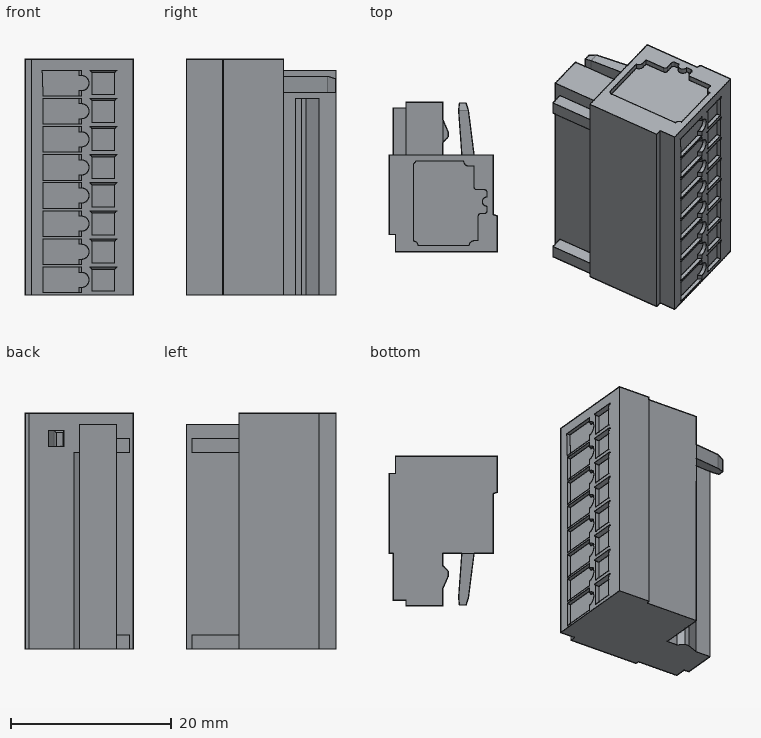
import cadquery as cq


pole_count = 8
pole_pitch = 3.5
end_wall = 1.4
housing_height = pole_count * pole_pitch + end_wall
housing_width = 13.5
housing_depth = 12.1
overall_depth = 18.65

left_step_width = 0.8
left_step_depth = 2.15
right_step_width = 0.5
right_step_inner_y = 4.65
right_step_outer_y = 4.5

plug_left = 2.1
plug_right = 6.7
plug_height = pole_count * pole_pitch
rib_left = 0.5
rib_end_y = 17.95
rib_height = pole_pitch / 2
rib_bottoms = (0.0, (pole_count - 1) * pole_pitch)

latch_reach = 0.7
latch_start_y = 13.6
latch_crest_start_y = 14.35
latch_crest_end_y = 14.9
latch_end_y = 16.5

prong_base_left = 9.05
prong_base_right = 10.6
prong_shoulder_left = 8.65
prong_shoulder_right = 9.9
prong_shoulder_y = 17.6
prong_tip_left = 8.75
prong_tip_right = 9.6
prong_tip_y = 18.55
prong_top_z = 27.25
prong_thickness = 2.0
prong_tip_drop = 0.3

pocket_depth = 0.5
button_left = 2.25
button_right = 7.03
button_ramp_start = 6.7
button_bottom = 0.3
button_top = pole_pitch
end_button_taper = 0.12
button_nose_radius = 0.94

entry_left = 8.35
entry_right = 11.15
entry_bottom = 0.5
entry_top = pole_pitch
entry_lead_in = 0.28

label_depth = 0.72
label_left = 3.05
label_top = 11.3
label_bottom = 0.8
label_upper_right = 10.6
label_lower_right = 11.1
label_lobe_right = 12.2
label_lobe_middle = 6.27
label_lobe_half_width = 1.48
label_notch_radius = 0.58
label_corner_radius = 0.32
label_scallop = 0.6
label_scallop_width = 1.3
label_foot_width = 1.12
label_heel = 0.55


def prism(points, bottom, height):
    """Straight-sided prism over an XY outline."""
    return cq.Workplane("XY").workplane(offset=bottom).polyline(points).close().extrude(height)


def block(x_range, y_range, z_range):
    """Axis-aligned block between the given limits."""
    size = [upper - lower for lower, upper in (x_range, y_range, z_range)]
    corner = (x_range[0], y_range[0], z_range[0])
    return cq.Workplane("XY").box(*size, centered=False).translate(corner)


def make_housing():
    right_wall = housing_width - right_step_width
    outline = [
        (left_step_width, 0),
        (housing_width, 0),
        (housing_width, right_step_outer_y),
        (right_wall, right_step_inner_y),
        (right_wall, housing_depth),
        (0, housing_depth),
        (0, left_step_depth),
        (left_step_width, left_step_depth),
    ]
    return prism(outline, 0, housing_height)


def make_plug():
    plug = block((plug_left, plug_right), (housing_depth, overall_depth), (0, plug_height))
    for bottom in rib_bottoms:
        rib = block((rib_left, plug_left), (housing_depth, rib_end_y), (bottom, bottom + rib_height))
        plug = plug.union(rib)
    return plug


def make_latch():
    crest = plug_right + latch_reach
    outline = [
        (plug_right, latch_start_y),
        (crest, latch_crest_start_y),
        (crest, latch_crest_end_y),
        (plug_right, latch_end_y),
    ]
    return prism(outline, 0, pole_pitch * (pole_count - 1))


def make_prong():
    outline = [
        (prong_base_left, housing_depth),
        (prong_base_right, housing_depth),
        (prong_shoulder_right, prong_shoulder_y),
        (prong_tip_right, prong_tip_y),
        (prong_tip_left, prong_tip_y),
        (prong_shoulder_left, prong_shoulder_y),
    ]
    prong = prism(outline, prong_top_z - prong_thickness, prong_thickness)
    bevel = (
        cq.Workplane("YZ")
        .polyline([
            (prong_shoulder_y, prong_top_z),
            (prong_tip_y, prong_top_z - prong_tip_drop),
            (prong_tip_y, prong_top_z),
        ])
        .close()
        .extrude(housing_width)
    )
    return prong.cut(bevel)


def make_button_recess():
    """Rectangular recess with a ramped +X end and a round nose past the ramp."""
    ramp_outline = [
        (button_left, 0),
        (button_right, 0),
        (button_ramp_start, pocket_depth),
        (button_left, pocket_depth),
    ]
    recess = prism(ramp_outline, button_bottom, button_top - button_bottom)
    middle_z = (button_bottom + button_top) / 2
    nose_start = block(
        (button_ramp_start, button_right),
        (0, pocket_depth),
        (middle_z - button_nose_radius, middle_z + button_nose_radius),
    )
    nose = (
        cq.Workplane("XZ")
        .center(button_right, middle_z)
        .circle(button_nose_radius)
        .extrude(-pocket_depth)
    )
    return recess.union(nose_start).union(nose)


def make_end_button_taper():
    """Thin wedge that widens the last button recess toward its top."""
    base_z = pole_pitch * (pole_count - 1)
    return (
        cq.Workplane("XZ")
        .polyline([
            (button_left, base_z + button_bottom),
            (button_left, base_z + button_top),
            (button_left - end_button_taper, base_z + button_top),
        ])
        .close()
        .extrude(-pocket_depth)
    )


def make_entry_recess():
    """Square recess whose top edge is a flared, sloping lead-in."""
    lead_in_bottom = entry_top - entry_lead_in
    square = block((entry_left, entry_right), (0, pocket_depth), (entry_bottom, lead_in_bottom))
    flare = (
        cq.Workplane("XZ")
        .polyline([
            (entry_left, lead_in_bottom),
            (entry_right, lead_in_bottom),
            (entry_right + entry_lead_in, entry_top),
            (entry_left - entry_lead_in, entry_top),
        ])
        .close()
        .extrude(-pocket_depth)
    )
    slope = (
        cq.Workplane("YZ")
        .polyline([(0, lead_in_bottom), (pocket_depth, lead_in_bottom), (0, entry_top)])
        .close()
        .extrude(housing_width)
    )
    return square.union(flare.intersect(slope))


def make_label_recess():
    """Shallow recess with scalloped corners and a lobe toward +X, notched by a round boss."""
    lobe_top = label_lobe_middle + label_lobe_half_width
    lobe_bottom = label_lobe_middle - label_lobe_half_width
    notch_top = label_lobe_middle + label_notch_radius
    notch_bottom = label_lobe_middle - label_notch_radius
    notch_tip = label_lobe_right - label_notch_radius
    scallop_left = label_upper_right - label_scallop_width
    scallop_bottom = label_top - label_scallop
    foot_left = label_lower_right - label_foot_width
    foot_right = foot_left + label_scallop
    foot_top = label_bottom + label_scallop
    heel_right = label_left + label_heel
    heel_top = label_bottom + label_heel
    corner = label_corner_radius
    return (
        cq.Workplane("XY")
        .workplane(offset=housing_height - label_depth)
        .moveTo(label_left, label_top - corner)
        .lineTo(label_left + corner, label_top)
        .lineTo(scallop_left, label_top)
        .radiusArc((scallop_left + label_scallop, scallop_bottom), -label_scallop)
        .lineTo(label_upper_right, scallop_bottom)
        .lineTo(label_upper_right, lobe_top + corner)
        .radiusArc((label_upper_right + corner, lobe_top), -corner)
        .lineTo(label_lobe_right - corner, lobe_top)
        .radiusArc((label_lobe_right, lobe_top - corner), corner)
        .lineTo(label_lobe_right, notch_top)
        .threePointArc((notch_tip, label_lobe_middle), (label_lobe_right, notch_bottom))
        .lineTo(label_lobe_right, lobe_bottom + corner)
        .radiusArc((label_lobe_right - corner, lobe_bottom), corner)
        .lineTo(label_lower_right + corner, lobe_bottom)
        .radiusArc((label_lower_right, lobe_bottom - corner), -corner)
        .lineTo(label_lower_right, foot_top)
        .lineTo(foot_right, foot_top)
        .radiusArc((foot_left, label_bottom), -label_scallop)
        .lineTo(heel_right, label_bottom)
        .radiusArc((label_left, heel_top), -label_heel)
        .close()
        .extrude(label_depth)
    )


result = make_housing().union(make_plug()).union(make_latch()).union(make_prong())
button_recess = make_button_recess()
entry_recess = make_entry_recess()
for pole in range(pole_count):
    shift = (0, 0, pole * pole_pitch)
    result = result.cut(button_recess.translate(shift))
    result = result.cut(entry_recess.translate(shift))
result = result.cut(make_end_button_taper())
result = result.cut(make_label_recess())